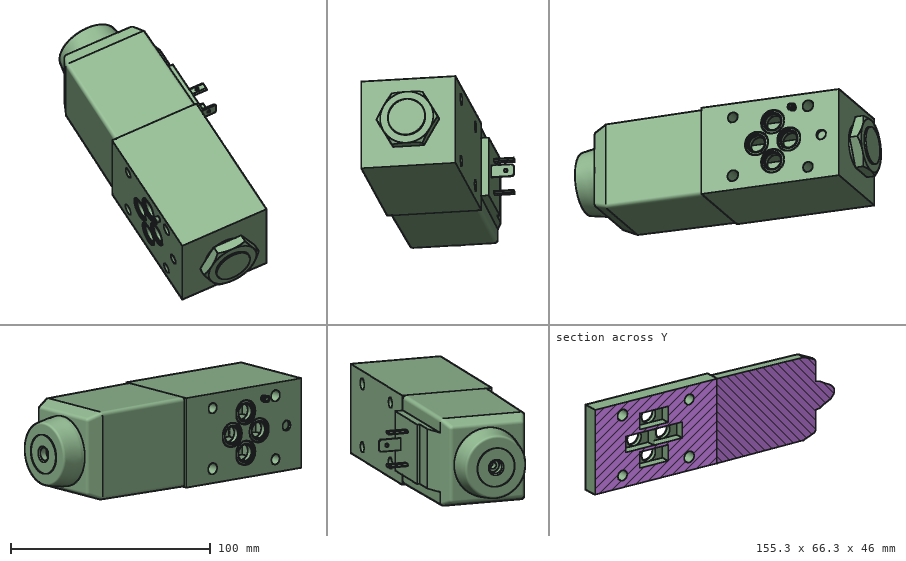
import cadquery as cq
import math


overall_length = 155.3
coil_front_x = 12.5
coil_shoulder_x = 20.0
block_start_x = 72.5
block_end_x = 146.8

block_min_y = -24.5
block_max_y = 23.5
block_height = 46.0

hole_left_x = 89.5
hole_pitch_x = 40.5
hole_left_z = 15.5
hole_right_z = 16.3
wide_hole_dia = 5.7
narrow_hole_dia = 5.3
locating_hole_x = 137.1
locating_hole_dia = 5.1
locating_hole_depth = 1.5
port_center_x = 110.9
port_spread_x = 8.7
port_spread_z = 10.4
port_recess_radius = 6.2
port_recess_depth = 0.8
port_lip_foot_radius = 5.9
port_lip_radius = 4.8
port_lip_depth = 0.3
port_bore_radius = 4.2
port_bore_depth = 3.7
chamber_width = 16.8
chamber_depth = 9.3

pin_x = 122.0
pin_z = 16.2
pin_length = 3.1
pin_dia = 3.1
pin_bore_dia = 2.0
pin_barb_width = 4.0
pin_barb_thickness = 0.5
pin_tip_length = 0.5

plug_neck_dia = 22.8
plug_neck_length = 2.2
hex_across_flats = 27.0
hex_end_x = 154.4
hex_chamfer_angle = 30.0
plug_disc_dia = 19.0

coil_front_half = 19.5
coil_shoulder_half = 22.5
coil_back_half = 23.0
coil_fillet = 2.0

connector_width = 30.6
connector_slope_end_x = 30.0
connector_step_x = 40.7
connector_low_y = 25.8
connector_high_y = 27.2

side_terminal_x = 56.0
side_terminal_z = 8.5
side_terminal_width = 4.8
side_terminal_thickness = 1.4
side_terminal_bevel = 1.0
side_terminal_end_y = 37.1
side_terminal_hole_y = 32.8
center_terminal_x = 64.8
center_terminal_width = 6.2
center_terminal_thickness = 1.0
center_terminal_end_y = 38.7
center_terminal_hole_y = 34.5
center_terminal_corner = 1.0
terminal_hole_dia = 1.7

knob_face_x = 0.5
knob_disc_radius = 10.0
knob_front_radius = 16.0
knob_break_x = 10.3
knob_break_radius = 17.7
knob_back_radius = 17.9
knob_round = 1.2
knob_recess_radius = 3.3
knob_recess_depth = 4.7
knob_recess_chamfer = 0.8
knob_bore_radius = 1.7
knob_bore_depth = 9.3


def box_between(x_range, y_range, z_range):
    """Box given by its (min, max) along each axis."""
    low, high = zip(x_range, y_range, z_range)
    size = [b - a for a, b in zip(low, high)]
    return cq.Workplane("XY").box(*size, centered=False).translate(low)


def rod_along_x(start_x, end_x, diameter):
    """Cylinder on the solenoid axis."""
    return cq.Workplane("YZ", origin=(start_x, 0, 0)).circle(diameter / 2).extrude(end_x - start_x)


def rod_into_block(x, z, diameter, start_y, length):
    """Cylinder parallel to Y, running from start_y in the +Y direction."""
    return cq.Workplane("XZ", origin=(x, start_y, z)).circle(diameter / 2).extrude(-length)


def square_frustum(start_x, start_half, end_x, end_half):
    """Square section that changes size along X."""
    return (
        cq.Workplane("YZ", origin=(start_x, 0, 0))
        .rect(2 * start_half, 2 * start_half)
        .workplane(offset=end_x - start_x)
        .rect(2 * end_half, 2 * end_half)
        .loft(ruled=True)
    )



def port_cut(x, z):
    """Port bore with a raised seal lip inside a round recess, opening into a square-cornered chamber."""
    profile = [
        (0, 0),
        (port_recess_radius, 0),
        (port_recess_radius, port_recess_depth),
        (port_lip_foot_radius, port_recess_depth),
        (port_lip_radius, port_lip_depth),
        (port_bore_radius, port_recess_depth),
        (port_bore_radius, port_bore_depth),
        (0, port_bore_depth),
    ]
    cutter = cq.Workplane("XY").polyline(profile).close().revolve(360, (0, 0, 0), (0, 1, 0))
    chamber = box_between(
        (-chamber_width / 2, chamber_width / 2),
        (port_bore_depth, port_bore_depth + chamber_depth),
        (-port_bore_radius, port_bore_radius),
    )
    return cutter.union(chamber).translate((x, block_min_y, z))


def orientation_pin():
    """Hollow pin with two barbs near its tip."""
    tip_y = block_min_y - pin_length
    shaft = rod_into_block(pin_x, pin_z, pin_dia, tip_y, pin_length)
    barb_start_y = tip_y + pin_tip_length
    barbs = rod_into_block(pin_x, pin_z, pin_barb_width, barb_start_y, pin_barb_thickness)
    barb_limit = cq.Workplane("XY").box(pin_barb_width, 2 * block_height, pin_dia)
    barbs = barbs.intersect(barb_limit.translate((pin_x, 0, pin_z)))
    bore = rod_into_block(pin_x, pin_z, pin_bore_dia, tip_y, pin_length)
    return shaft.union(barbs).cut(bore)


def hex_plug():
    """End plug: round neck, hexagon with corners along Y, and a small end disc."""
    neck_end_x = block_end_x + plug_neck_length
    corner_radius = hex_across_flats / math.sqrt(3)
    flat_radius = hex_across_flats / 2
    hexagon = (
        cq.Workplane("YZ", origin=(neck_end_x, 0, 0))
        .polygon(6, 2 * corner_radius)
        .extrude(hex_end_x - neck_end_x)
    )
    chamfer_drop = (corner_radius - flat_radius) * math.tan(math.radians(hex_chamfer_angle))
    envelope = (
        cq.Workplane("XY")
        .moveTo(neck_end_x, 0)
        .lineTo(neck_end_x, corner_radius)
        .lineTo(hex_end_x - chamfer_drop, corner_radius)
        .lineTo(hex_end_x, flat_radius)
        .lineTo(hex_end_x, 0)
        .close()
        .revolve(360, (0, 0, 0), (1, 0, 0))
    )
    neck = rod_along_x(block_end_x, neck_end_x, plug_neck_dia)
    disc = rod_along_x(hex_end_x, overall_length, plug_disc_dia)
    return hexagon.intersect(envelope).union(neck).union(disc)


def make_valve_block():
    half_height = block_height / 2
    block = box_between(
        (block_start_x, block_end_x), (block_min_y, block_max_y), (-half_height, half_height)
    )
    hole_right_x = hole_left_x + hole_pitch_x
    mounting_holes = [
        (hole_left_x, -hole_left_z, wide_hole_dia),
        (hole_right_x, hole_right_z, wide_hole_dia),
        (hole_left_x, hole_left_z, narrow_hole_dia),
        (hole_right_x, -hole_right_z, narrow_hole_dia),
    ]
    for x, z, diameter in mounting_holes:
        block = block.cut(rod_into_block(x, z, diameter, block_min_y, block_max_y - block_min_y))
    block = block.cut(
        rod_into_block(locating_hole_x, 0, locating_hole_dia, block_min_y, locating_hole_depth)
    )
    for side in (-1, 1):
        block = block.cut(port_cut(port_center_x + side * port_spread_x, 0))
        block = block.cut(port_cut(port_center_x, side * port_spread_z))
    return block.union(orientation_pin()).union(hex_plug())



def coil_housing():
    """Square coil housing with draft, a tapered front end and rounded edges."""
    front = square_frustum(coil_front_x, coil_front_half, coil_shoulder_x, coil_shoulder_half)
    body = square_frustum(coil_shoulder_x, coil_shoulder_half, block_start_x, coil_back_half)
    housing = front.union(body)
    reach = block_height
    all_but_back_edges = cq.selectors.BoxSelector(
        (0, -reach, -reach), (block_start_x - coil_fillet, reach, reach)
    )
    shoulder_edges = cq.selectors.BoxSelector(
        (coil_shoulder_x - coil_fillet, -reach, -reach),
        (coil_shoulder_x + coil_fillet, reach, reach),
    )
    return housing.edges(all_but_back_edges - shoulder_edges).fillet(coil_fillet)


def connector_base():
    """Stepped connector base that ramps up from the coil shoulder."""
    outline = [
        (coil_shoulder_x, 0),
        (coil_shoulder_x, coil_shoulder_half),
        (connector_slope_end_x, connector_low_y),
        (connector_step_x, connector_low_y),
        (connector_step_x, connector_high_y),
        (block_start_x, connector_high_y),
        (block_start_x, 0),
    ]
    return cq.Workplane("XY").polyline(outline).close().extrude(connector_width / 2, both=True)


def side_terminal(z):
    """Blade lying flat in Z, with both long edges bevelled to a ridge."""
    half_width = side_terminal_width / 2
    half_flat = half_width - side_terminal_bevel
    half_thickness = side_terminal_thickness / 2
    section = [
        (-half_width, 0),
        (-half_flat, half_thickness),
        (half_flat, half_thickness),
        (half_width, 0),
        (half_flat, -half_thickness),
        (-half_flat, -half_thickness),
    ]
    blade = (
        cq.Workplane("XZ", origin=(side_terminal_x, connector_high_y, z))
        .polyline(section)
        .close()
        .extrude(connector_high_y - side_terminal_end_y)
    )
    hole = (
        cq.Workplane("XY", origin=(side_terminal_x, side_terminal_hole_y, z))
        .circle(terminal_hole_dia / 2)
        .extrude(side_terminal_thickness, both=True)
    )
    return blade.cut(hole)


def center_terminal():
    """Blade lying flat in X, with chamfered end corners."""
    half_thickness = center_terminal_thickness / 2
    half_width = center_terminal_width / 2
    blade = box_between(
        (center_terminal_x - half_thickness, center_terminal_x + half_thickness),
        (connector_high_y, center_terminal_end_y),
        (-half_width, half_width),
    )
    blade = blade.faces(">Y").edges("|X").chamfer(center_terminal_corner)
    hole = (
        cq.Workplane("YZ", origin=(center_terminal_x, center_terminal_hole_y, 0))
        .circle(terminal_hole_dia / 2)
        .extrude(center_terminal_thickness, both=True)
    )
    return blade.cut(hole)


def knob():
    """Conical knob with a rounded rim, a raised end disc and a stepped bore."""
    cone = (
        cq.Workplane("XY")
        .moveTo(knob_face_x, 0)
        .lineTo(knob_face_x, knob_front_radius)
        .lineTo(knob_break_x, knob_break_radius)
        .lineTo(coil_front_x, knob_back_radius)
        .lineTo(coil_front_x, 0)
        .close()
        .revolve(360, (0, 0, 0), (1, 0, 0))
        .faces("<X")
        .edges()
        .fillet(knob_round)
    )
    disc = rod_along_x(0, knob_face_x, 2 * knob_disc_radius)
    return cone.union(disc)


def knob_bore():
    """Stepped bore with a chamfered mouth."""
    profile = [
        (0, 0),
        (0, knob_recess_radius + knob_recess_chamfer),
        (knob_recess_chamfer, knob_recess_radius),
        (knob_recess_depth, knob_recess_radius),
        (knob_recess_depth, knob_bore_radius),
        (knob_bore_depth, knob_bore_radius),
        (knob_bore_depth, 0),
    ]
    return cq.Workplane("XY").polyline(profile).close().revolve(360, (0, 0, 0), (1, 0, 0))


def make_solenoid():
    solenoid = coil_housing().union(connector_base()).union(center_terminal())
    for side in (-1, 1):
        solenoid = solenoid.union(side_terminal(side * side_terminal_z))
    return solenoid.union(knob()).cut(knob_bore())


valve_block = make_valve_block()
solenoid = make_solenoid()

result = cq.Compound.makeCompound([valve_block.val(), solenoid.val()])